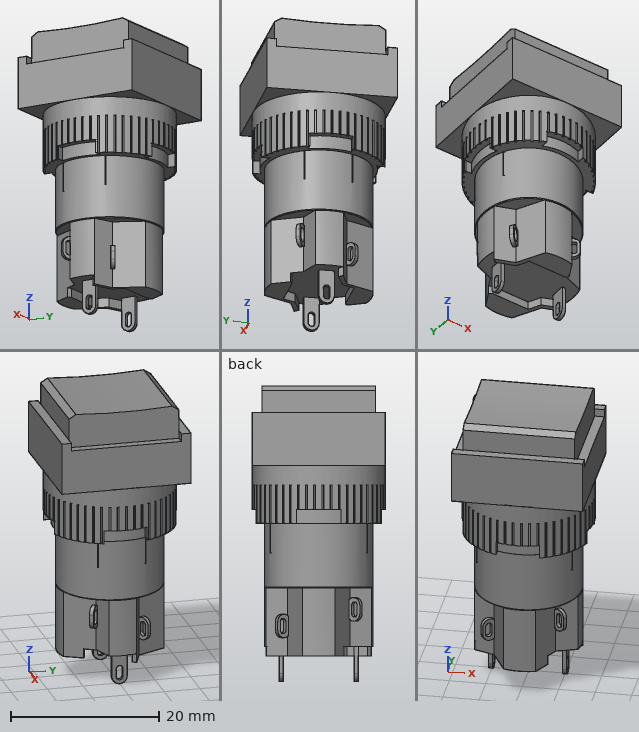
import cadquery as cq
import math


total_height = 39.9
bezel_top = 36.3
bezel_floor = 35.25
bezel_bottom = 29.13
slot_top = 26.55
notch_top = 23.2
ring_bottom = 21.35
slit_bottom = 17.3
base_top = 12.65
recess_top = 4.7
base_bottom = 3.45

bezel_width = 18.0
cap_width = 15.32
cap_bevel_width = 0.95
cap_bevel_height = 0.6
cap_dish_depth = 0.25

barrel_radius = 14.7 / 2
barrel_chamfer = 0.1
slit_width = 0.1
slit_offset = 3.3
slit_depth = 0.8
ring_radius = bezel_width / 2
ring_bore_radius = barrel_radius
slot_count = 50
slot_width = 0.25
slot_depth = 0.25
notch_count = 4
notch_width = 5.95
notch_floor_radius = 7.95

v_corner = (4.23, 3.0)
v_side_edge_y = 1.9
v_end_edge_x = 2.2
channel_half_width = 1.4
channel_flare_x = 6.6
inner_corner = (3.8, 2.47)
pocket_corner = (2.9, 4.25)
pocket_mouth = (3.47, 4.6)

blade_thickness = 0.55
blade_width = 2.1
eye_width = 0.9
eye_length = 2.05
eye_tip_gap = 0.55
blade_x = 5.05
tab_height = 3.2
tab_reach = 7.0
tab_eye_shift = 0.15
tab_upper_z = 9.75
tab_lower_z = 7.5

overcut = 0.4


def on_circle(x=None, y=None):
    """First-quadrant point of the barrel circle with the given x or y."""
    if y is None:
        return x, math.sqrt(barrel_radius**2 - x**2)
    return math.sqrt(barrel_radius**2 - y**2), y


def make_cap():
    """Square button with two bevelled edges and a shallow cylindrical dish on top."""
    half = cap_width / 2
    rim = half - cap_bevel_width
    shoulder = total_height - cap_bevel_height
    return (
        cq.Workplane("YZ", origin=(-half, 0, 0))
        .moveTo(-half, bezel_floor)
        .lineTo(half, bezel_floor)
        .lineTo(half, shoulder)
        .lineTo(rim, total_height)
        .threePointArc((0, total_height - cap_dish_depth), (-rim, total_height))
        .lineTo(-half, shoulder)
        .close()
        .extrude(cap_width)
    )


def make_housing():
    """Square bezel with a channel for the cap, on a round barrel with side slits."""
    bezel = (
        cq.Workplane("XY", origin=(0, 0, bezel_bottom))
        .rect(bezel_width, bezel_width)
        .extrude(bezel_top - bezel_bottom)
    )
    channel = (
        cq.Workplane("XY", origin=(0, 0, bezel_floor))
        .rect(bezel_width + 2 * overcut, cap_width)
        .extrude(bezel_top - bezel_floor + overcut)
    )
    barrel = (
        cq.Workplane("XY", origin=(0, 0, base_top))
        .circle(barrel_radius)
        .extrude(bezel_bottom - base_top)
        .faces("<Z")
        .chamfer(barrel_chamfer)
    )
    slit_x = on_circle(y=slit_offset)[0]
    slits = (
        cq.Workplane("XY", origin=(0, 0, slit_bottom))
        .pushPoints([(sx * slit_x, sy * slit_offset) for sx in (-1, 1) for sy in (-1, 1)])
        .rect(2 * slit_depth, slit_width)
        .extrude(ring_bottom - slit_bottom)
    )
    return bezel.cut(channel).union(barrel.cut(slits))


def make_lock_ring():
    """Knurled ring with narrow grip slots and four notches in its lower edge."""
    ring = (
        cq.Workplane("XY", origin=(0, 0, ring_bottom))
        .circle(ring_radius)
        .circle(ring_bore_radius)
        .extrude(bezel_bottom - ring_bottom)
    )
    grip_slots = (
        cq.Workplane("XY", origin=(0, 0, ring_bottom))
        .polarArray(ring_radius, 0, 360, slot_count)
        .rect(2 * slot_depth, slot_width)
        .extrude(slot_top - ring_bottom)
    )
    notches = (
        cq.Workplane("XY", origin=(0, 0, ring_bottom))
        .polarArray(ring_radius, 0, 360, notch_count)
        .rect(ring_radius, notch_width)
        .extrude(notch_top - ring_bottom)
    )
    notch_floor = (
        cq.Workplane("XY", origin=(0, 0, ring_bottom))
        .circle(notch_floor_radius)
        .extrude(notch_top - ring_bottom)
    )
    return ring.cut(grip_slots).cut(notches.cut(notch_floor))


def make_base_block():
    """Round block cut back to four lobes, with an open pocket in its underside."""
    block = (
        cq.Workplane("XY", origin=(0, 0, base_bottom))
        .circle(barrel_radius)
        .extrude(base_top - base_bottom)
    )
    side_edge = on_circle(y=v_side_edge_y)
    end_edge = on_circle(x=v_end_edge_x)
    outside = 2 * barrel_radius
    for sx in (-1, 1):
        for sy in (-1, 1):
            outline = [v_corner, side_edge, (outside, side_edge[1]), (outside, outside),
                       (end_edge[0], outside), end_edge]
            corner = (
                cq.Workplane("XY", origin=(0, 0, base_bottom))
                .polyline([(sx * x, sy * y) for x, y in outline])
                .close()
                .extrude(base_top - base_bottom)
            )
            block = block.cut(corner)

    half_outline = [side_edge, (channel_flare_x, channel_half_width), inner_corner, pocket_corner,
                    (-pocket_corner[0], pocket_corner[1]), (-pocket_mouth[0], pocket_mouth[1]),
                    (-outside, pocket_mouth[1])]
    opposite_half = [(-x, -y) for x, y in half_outline]
    pocket = (
        cq.Workplane("XY", origin=(0, 0, base_bottom))
        .polyline(half_outline + [(-outside, -v_side_edge_y)] + opposite_half + [(outside, v_side_edge_y)])
        .close()
        .extrude(recess_top - base_bottom)
    )
    return block.cut(pocket)


def make_blade(x):
    """Solder terminal hanging from the pocket roof, with a rounded tip and an eye."""
    radius = blade_width / 2
    plane = cq.Workplane("YZ", origin=(x - blade_thickness / 2, 0, 0))
    blade = (
        plane.moveTo(-radius, recess_top)
        .lineTo(-radius, radius)
        .threePointArc((0, 0), (radius, radius))
        .lineTo(radius, recess_top)
        .close()
        .extrude(blade_thickness)
    )
    eye = plane.center(0, eye_tip_gap + eye_length / 2).slot2D(eye_length, eye_width, 90)
    return blade.cut(eye.extrude(blade_thickness))


def make_tab(angle, z):
    """Oval solder tab with an eye, standing out radially from a corner recess."""
    plane = cq.Workplane("XZ", origin=(tab_reach - blade_width / 2, blade_thickness / 2, z))
    tab = plane.slot2D(tab_height, blade_width, 90).extrude(blade_thickness)
    eye = plane.center(tab_eye_shift, 0).slot2D(eye_length, eye_width, 90).extrude(blade_thickness)
    return tab.cut(eye).rotate((0, 0, 0), (0, 0, 1), angle)


def make_base():
    """Terminal block with its two blades and four side tabs."""
    base = make_base_block()
    for x in (-blade_x, blade_x):
        base = base.union(make_blade(x))
    corner_angle = math.degrees(math.atan2(v_corner[1], v_corner[0]))
    for half_turn in (0, 180):
        base = base.union(make_tab(corner_angle + half_turn, tab_lower_z))
        base = base.union(make_tab(half_turn - corner_angle, tab_upper_z))
    return base


cap = make_cap()
housing = make_housing()
lock_ring = make_lock_ring()
base = make_base()

result = cq.Compound.makeCompound([cap.val(), housing.val(), lock_ring.val(), base.val()])